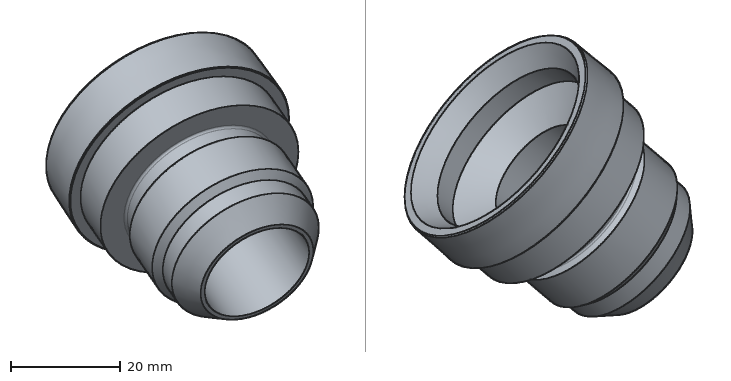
import math
import cadquery as cq


length = 41.4
flange_end = 10.2
shoulder_end = 18.2
collar_start = 22.6
collar_end = 31.6
nose_start = 36.75

flange_radius = 22.65
flange_front_radius = 22.45
shoulder_radius = 20.4
neck_radius = 15.15
collar_radius = 16.6
tip_radius = 11.6

front_chamfer_length = 0.3
front_chamfer_drop = 0.23
back_chamfer = 0.2
neck_fillet = 0.45
collar_ramp_angle = math.radians(60)
collar_height = collar_radius - neck_radius
collar_back_chamfer = collar_height

mouth_radius = 20.65
recess_radius = 17.6
bore_radius = 10.75
mouth_depth = 3.9
recess_depth = 8.1
bore_start = 12.25

ramp_foot = collar_start - collar_height / math.tan(collar_ramp_angle)
fillet_start = ramp_foot - neck_fillet * math.tan(collar_ramp_angle / 2)
fillet_center_radius = neck_radius + neck_fillet


def ramp_fillet_point(angle):
    """Point on the ramp fillet, turned by angle from its start on the neck."""
    return (
        fillet_start + neck_fillet * math.sin(angle),
        fillet_center_radius - neck_fillet * math.cos(angle),
    )


def shoulder_fillet_point(angle):
    """Point on the shoulder fillet, turned by angle from the shoulder face."""
    return (
        shoulder_end + neck_fillet * (1 - math.cos(angle)),
        fillet_center_radius - neck_fillet * math.sin(angle),
    )


half_section = (
    cq.Workplane("XY")
    .moveTo(0, mouth_radius)
    .lineTo(0, flange_front_radius - front_chamfer_drop)
    .lineTo(front_chamfer_length, flange_front_radius)
    .lineTo(flange_end - back_chamfer, flange_radius)
    .lineTo(flange_end, flange_radius - back_chamfer)
    .lineTo(flange_end, shoulder_radius)
    .lineTo(shoulder_end, shoulder_radius)
    .lineTo(*shoulder_fillet_point(0))
    .threePointArc(shoulder_fillet_point(math.pi / 4), shoulder_fillet_point(math.pi / 2))
    .lineTo(*ramp_fillet_point(0))
    .threePointArc(ramp_fillet_point(collar_ramp_angle / 2), ramp_fillet_point(collar_ramp_angle))
    .lineTo(collar_start, collar_radius)
    .lineTo(collar_end, collar_radius)
    .lineTo(collar_end + collar_back_chamfer, neck_radius)
    .lineTo(nose_start, neck_radius)
    .lineTo(length, tip_radius)
    .lineTo(length, bore_radius)
    .lineTo(bore_start, bore_radius)
    .lineTo(recess_depth, recess_radius)
    .lineTo(mouth_depth, recess_radius)
    .close()
)

result = half_section.revolve(360, (0, 0, 0), (1, 0, 0))